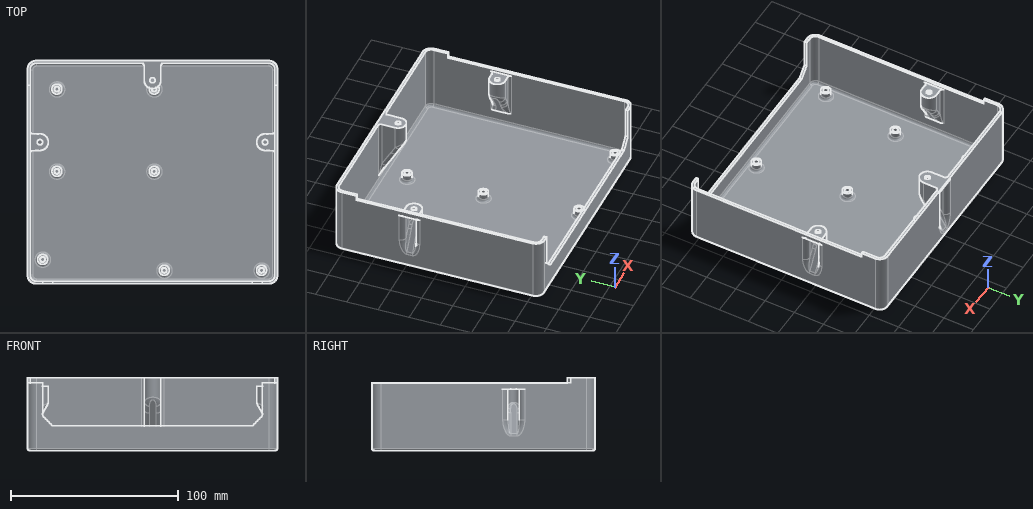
import cadquery as cq
import math

LENGTH = 149.2
WIDTH = 133.2
HEIGHT = 43.6
WALL = 1.6
CORNER_RADIUS = 5.4
EDGE_RADIUS = WALL

RIM_HEIGHT = HEIGHT - 2 * WALL
LIP_DEPTH = 14.7

OPENING_WIDTH = 131.0
OPENING_FLOOR = 14.8
OPENING_CHAMFER = 6.0

BOSS_RADIUS = 5.0
BOSS_SLOPE = math.radians(60)
BOSS_EDGE_RADIUS = 2 * WALL
BOSS_ROOT_RADIUS = WALL
SCREW_DIAMETER = 3.2
SIDE_BOSS_TOP = 38.4
SIDE_BOSS_REACH = 7.5
SIDE_BOSS_Y = 17.9
SIDE_BOSS_NOSE = 28.2
BACK_BOSS_REACH = 11.8
BACK_BOSS_NOSE = 31.2

TOOL_HEIGHT = 3 * HEIGHT
SLAB_WIDTH = 6 * BOSS_RADIUS
SELECT_MARGIN = 0.01

STANDOFF_DIAMETER = 6.0
STANDOFF_BORE_TOP = 3.2
STANDOFF_BORE_BOTTOM = 2.85
STANDOFF_HEIGHT = 5.0
STANDOFF_ROOT_RADIUS = WALL
BOARD_HOLE_X = 58.0
BOARD_HOLE_Y = 49.0
BOARD_CORNER = (-57.0, 0.5)
FRONT_STANDOFFS = [(-65.5, -52.0), (7.0, -58.5), (65.0, -58.5)]


def rounded_block(inset, bottom):
    """Block with rounded corners and rounded bottom edges, inset from the outer faces."""
    return (
        cq.Workplane("XY", origin=(0, 0, bottom))
        .rect(LENGTH - 2 * inset, WIDTH - 2 * inset)
        .extrude(HEIGHT - bottom)
        .edges("|Z")
        .fillet(CORNER_RADIUS - inset)
        .faces("<Z")
        .edges()
        .fillet(EDGE_RADIUS)
    )


def rim_step():
    """Space above the low rim, in front of the raised back lip."""
    depth = WIDTH - LIP_DEPTH
    return cq.Workplane("XY").box(LENGTH, depth, HEIGHT - RIM_HEIGHT, centered=(True, False, False)).translate(
        (0, -WIDTH / 2, RIM_HEIGHT)
    )


def front_opening():
    """Opening through the front wall with chamfered lower corners."""
    half = OPENING_WIDTH / 2
    return (
        cq.Workplane("XZ", origin=(0, -WIDTH / 2, 0))
        .moveTo(-half, HEIGHT)
        .lineTo(-half, OPENING_FLOOR + OPENING_CHAMFER)
        .lineTo(-half + OPENING_CHAMFER, OPENING_FLOOR)
        .lineTo(half - OPENING_CHAMFER, OPENING_FLOOR)
        .lineTo(half, OPENING_FLOOR + OPENING_CHAMFER)
        .lineTo(half, HEIGHT)
        .close()
        .extrude(-WALL)
    )


def column_on_slab(reach, offset):
    """Tall round-nosed column growing toward +X, and the wall slab that it grows from.

    An offset of zero gives the outer column, which stands on the inner face of a wall whose
    outer face is x = 0. An offset of WALL gives its hollow, which starts at that outer face.
    """
    radius = BOSS_RADIUS - offset
    back_x = -offset
    column = (
        cq.Workplane("XY", origin=(0, 0, -HEIGHT))
        .moveTo(back_x, -radius)
        .lineTo(reach, -radius)
        .threePointArc((reach + radius, 0), (reach, radius))
        .lineTo(back_x, radius)
        .close()
        .extrude(TOOL_HEIGHT)
    )
    slab = cq.Workplane("XY", origin=(back_x, 0, -HEIGHT)).box(
        WALL, SLAB_WIDTH, TOOL_HEIGHT, centered=(False, True, False)
    )
    return column, slab


def space_under_slope(nose_height, reach, offset):
    """Everything beneath the sloped underside, moved up into the boss by the offset."""
    steepness = math.tan(BOSS_SLOPE)
    height_at_wall = nose_height - (reach + BOSS_RADIUS) * steepness + offset / math.cos(BOSS_SLOPE)
    back_x = -WALL
    far_x = reach + 2 * BOSS_RADIUS
    return (
        cq.Workplane("XZ")
        .moveTo(back_x, height_at_wall + back_x * steepness)
        .lineTo(far_x, height_at_wall + far_x * steepness)
        .lineTo(far_x, -TOOL_HEIGHT)
        .lineTo(back_x, -TOOL_HEIGHT)
        .close()
        .extrude(SLAB_WIDTH, both=True)
    )


def root_edges(offset):
    """Selector for the edges where the column or hollow leaves the wall slab."""
    root_x = WALL - offset
    half_width = BOSS_RADIUS - offset + SELECT_MARGIN
    return cq.selectors.BoxSelector(
        (root_x - SELECT_MARGIN, -half_width, -TOOL_HEIGHT),
        (root_x + SELECT_MARGIN, half_width, TOOL_HEIGHT),
        boundingbox=True,
    )


def trimmed(form, root_x, top):
    """The part of a form that lies in front of root_x and below top."""
    kept_space = cq.Workplane("XY", origin=(root_x, 0, -HEIGHT)).box(
        LENGTH / 2, SLAB_WIDTH, top + HEIGHT, centered=(False, True, False)
    )
    return form.intersect(kept_space)


def boss_outer(reach, nose_height, top):
    """Outer boss: flared at the wall, then cut by the slope and rounded along its underside."""
    column, slab = column_on_slab(reach, 0)
    flared = column.union(slab).edges(root_edges(0)).fillet(BOSS_ROOT_RADIUS)
    body = (
        flared.cut(space_under_slope(nose_height, reach, 0))
        .faces("<Z")
        .edges("not (<X or <Y or >Y)")
        .fillet(BOSS_EDGE_RADIUS)
    )
    return trimmed(body, WALL, top)


def boss_hollow(reach, nose_height, top):
    """Hollow one wall thickness inside the boss, with a rounded mouth in the outer face."""
    column, slab = column_on_slab(reach, WALL)
    body = (
        column.cut(space_under_slope(nose_height, reach, WALL))
        .faces("<Z")
        .edges("not <X")
        .fillet(BOSS_EDGE_RADIUS - WALL)
    )
    flared = body.union(slab).edges(root_edges(WALL)).fillet(BOSS_ROOT_RADIUS + WALL)
    return trimmed(flared, 0, top - WALL)


def add_boss(tray, reach, nose_height, top, turn, foot):
    """Join a boss to a wall, hollow it from outside and drill its screw hole."""

    def placed(shape):
        return shape.rotate((0, 0, 0), (0, 0, 1), turn).translate(foot)

    outer_form = boss_outer(reach, nose_height, top)
    hollow = boss_hollow(reach, nose_height, top)
    screw_hole = cq.Workplane("XY", origin=(reach, 0, top - 2 * WALL)).circle(SCREW_DIAMETER / 2).extrude(2 * WALL)
    return tray.union(placed(outer_form)).cut(placed(hollow)).cut(placed(screw_hole))


def standoff():
    """Round post on the floor with a flared foot and a bore that tapers down to the floor."""
    radius = STANDOFF_DIAMETER / 2
    foot_radius = radius + STANDOFF_ROOT_RADIUS
    bend = STANDOFF_ROOT_RADIUS * (1 - math.sqrt(0.5))
    return (
        cq.Workplane("XZ")
        .moveTo(STANDOFF_BORE_BOTTOM / 2, 0)
        .lineTo(foot_radius, 0)
        .threePointArc((radius + bend, bend), (radius, STANDOFF_ROOT_RADIUS))
        .lineTo(radius, STANDOFF_HEIGHT)
        .lineTo(STANDOFF_BORE_TOP / 2, STANDOFF_HEIGHT)
        .close()
        .revolve(360, (0, 0, 0), (0, 1, 0))
    )


def standoff_positions():
    """Four corners of the board hole pattern, then the three posts near the front."""
    corner_x, corner_y = BOARD_CORNER
    board = [(corner_x + dx, corner_y + dy) for dx in (0, BOARD_HOLE_X) for dy in (0, BOARD_HOLE_Y)]
    return board + FRONT_STANDOFFS


tray = rounded_block(0, 0).cut(rounded_block(WALL, WALL)).cut(rim_step()).cut(front_opening())
tray = add_boss(tray, SIDE_BOSS_REACH, SIDE_BOSS_NOSE, SIDE_BOSS_TOP, 0, (-LENGTH / 2, SIDE_BOSS_Y, 0))
tray = add_boss(tray, SIDE_BOSS_REACH, SIDE_BOSS_NOSE, SIDE_BOSS_TOP, 180, (LENGTH / 2, SIDE_BOSS_Y, 0))
tray = add_boss(tray, BACK_BOSS_REACH, BACK_BOSS_NOSE, HEIGHT, -90, (0, WIDTH / 2, 0))
for x, y in standoff_positions():
    tray = tray.union(standoff().translate((x, y, WALL)))

result = tray